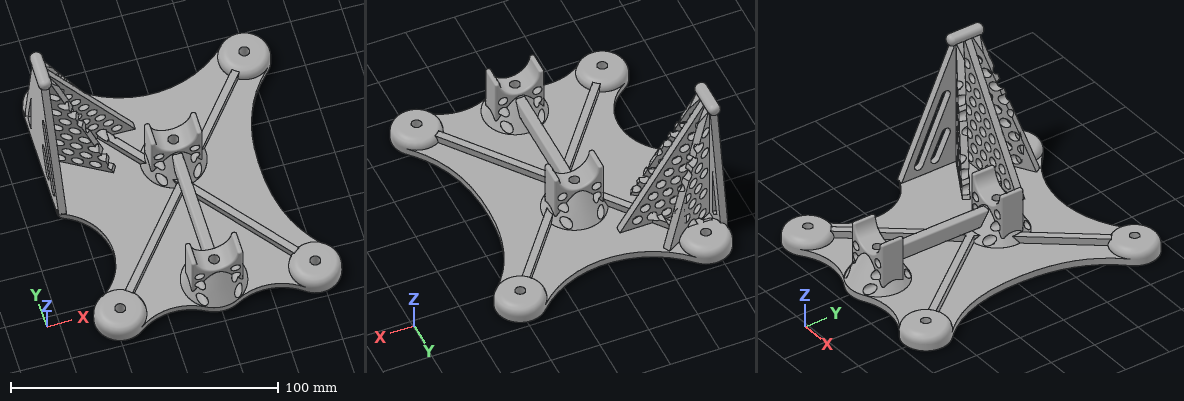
import cadquery as cq
import math

PLATE_T = 3.0
BOLT_X = 38.0
BOLT_Y = 48.0
BOSS_R = 10.0
BOSS_TOP = 7.0
BOSS_FILLET = BOSS_TOP - PLATE_T
BOLT_HOLE_D = 4.0
REAR_EDGE_Y = 42.0
RIGHT_EDGE_X = 30.2
SCALLOP_R = 23.0
LEFT_SCALLOP_R = 22.4
LEFT_SCALLOP_X = -55.1
CORNER_R = 3.0
LEFT_X = -BOLT_X - BOSS_R

RIB_W = 3.0
RIB_TOP = 6.0

POST_YS = (-43.0, 12.0)
POST_W = 20.0
POST_DEPTH = 10.0
POST_TOP = 25.0
SADDLE_R = 8.0
POST_FILLET = 0.9
CONE_BASE_R = 12.65
CONE_TOP_R = 4.5
CONE_TOP = 16.5
POST_HOLE_D = 3.7
POST_HOLE_X = 7.0
POST_HOLE_ZS = (5.2, 10.35, 15.5)
BEAM_W = 4.0
BEAM_BOTTOM = 8.0
BEAM_TOP = 15.0
BEAM_FILLET = 1.0
BEAM_OVERLAP = 1.0

WALL_T = 3.0
WALL_INNER_X = LEFT_X + WALL_T
BAR_X = LEFT_X + WALL_T / 2
BAR_Y = 30.25
BAR_Z = 58.0
BAR_R = 2.5
BAR_LENGTH = 16.0
BAR_FILLET = 2.0
WALL_HALF_TOP = 6.0
WALL_FRONT_Y = 0.14
WALL_REAR_Y = 45.5
SLOT_D = 4.0
LONG_SLOT = ((20.5, 34.9), (8.1, 7.9))
SHORT_SLOT = ((20.5, 17.8), (15.6, 7.9))
WINDOW = ((38.1, 27.0), (42.0, 8.0), (39.8, 5.9), (38.1, 5.9))

GUSSET_T = 3.0
GUSSET_REACH = 35.0
SIDE_GUSSET_REACH = 26.1
SIDE_GUSSET_TOP = 1.1
SIDE_GUSSET_ANGLE = 30.0
SIDE_GUSSET_ROOT = 3.45
PERF_D = 4.0
PERF_PITCH = 6.0
PERF_LATTICE_ANGLE = 60.0
PERF_ROW_COUNTS = (9, 7, 5, 3, 1)
PERF_START = (-42.95, 47.3)
PERF_REAR_Y = BAR_Y + 12.5
PERF_FRONT_Y = BAR_Y - 5.0


def along(start, end, distance):
    """Point at a distance from start on the way to end."""
    share = distance / math.dist(start, end)
    return tuple(s + share * (e - s) for s, e in zip(start, end))


def circle_crossing(center_a, radius_a, center_b, radius_b):
    """Crossing of two circles that lies to the left when going from centre a to centre b."""
    gap = math.dist(center_a, center_b)
    run = (gap**2 + radius_a**2 - radius_b**2) / (2 * gap)
    rise = math.sqrt(radius_a**2 - run**2)
    ux = (center_b[0] - center_a[0]) / gap
    uy = (center_b[1] - center_a[1]) / gap
    return (center_a[0] + run * ux - rise * uy, center_a[1] + run * uy + rise * ux)


def tangent_edge_radius(half_span, drop):
    """Radius of a concave edge tangent to two bosses; drop is its apex depth below the boss centres."""
    return (half_span**2 + drop**2 - BOSS_R**2) / (2 * (BOSS_R + drop))


def base_plate():
    """Plate whose outline runs tangentially around four bosses and the front cone."""
    rear_left, rear_right = (-BOLT_X, BOLT_Y), (BOLT_X, BOLT_Y)
    front_left, front_right = (-BOLT_X, -BOLT_Y), (BOLT_X, -BOLT_Y)
    front_cone = (0, POST_YS[0])

    rear_r = tangent_edge_radius(BOLT_X, BOLT_Y - REAR_EDGE_Y)
    rear_arc = (0, REAR_EDGE_Y + rear_r)
    boss_reach = BOSS_R + SCALLOP_R
    cone_reach = CONE_BASE_R + SCALLOP_R
    scallop_right = circle_crossing(front_right, boss_reach, front_cone, cone_reach)
    scallop_left = (-scallop_right[0], scallop_right[1])
    left_rise = math.sqrt((BOSS_R + LEFT_SCALLOP_R)**2 - (LEFT_SCALLOP_X + BOLT_X)**2)
    scallop_side = (LEFT_SCALLOP_X, left_rise - BOLT_Y)
    corner_x = LEFT_X + CORNER_R
    corner_rise = math.sqrt((LEFT_SCALLOP_R + CORNER_R)**2 - (corner_x - LEFT_SCALLOP_X)**2)
    corner = (corner_x, scallop_side[1] + corner_rise)

    diagonal = BOSS_R * math.sqrt(0.5)
    outer_x = BOLT_X + diagonal
    outer_y = BOLT_Y + diagonal
    right_end = (outer_x, BOLT_Y - diagonal)
    corner_end = along(corner, scallop_side, CORNER_R)
    corner_mid = along(corner, along((LEFT_X, corner[1]), corner_end, 1.0), CORNER_R)
    return (
        cq.Workplane("XY")
        .moveTo(LEFT_X, BOLT_Y)
        .threePointArc((-outer_x, outer_y), along(rear_left, rear_arc, BOSS_R))
        .threePointArc((0, REAR_EDGE_Y), along(rear_right, rear_arc, BOSS_R))
        .threePointArc((outer_x, outer_y), right_end)
        .spline([(RIGHT_EDGE_X, 0), (right_end[0], -right_end[1])],
                tangents=[(-1, -1), (1, -1)], includeCurrent=True)
        .threePointArc((outer_x, -outer_y), along(front_right, scallop_right, BOSS_R))
        .threePointArc((scallop_right[0], scallop_right[1] + SCALLOP_R),
                       along(front_cone, scallop_right, CONE_BASE_R))
        .threePointArc((0, POST_YS[0] - CONE_BASE_R), along(front_cone, scallop_left, CONE_BASE_R))
        .threePointArc((scallop_left[0], scallop_left[1] + SCALLOP_R),
                       along(front_left, scallop_left, BOSS_R))
        .threePointArc((-outer_x, -outer_y), along(front_left, scallop_side, BOSS_R))
        .threePointArc((LEFT_SCALLOP_X + LEFT_SCALLOP_R, scallop_side[1]), corner_end)
        .threePointArc(corner_mid, (LEFT_X, corner[1]))
        .close()
        .extrude(PLATE_T)
    )


def corner_boss(x, y):
    """Round boss with a rounded rim."""
    boss = cq.Workplane("XY").circle(BOSS_R).extrude(BOSS_TOP)
    return boss.faces(">Z").edges().fillet(BOSS_FILLET).translate((x, y, 0))


def diagonal_rib(direction):
    """Low rib joining two opposite bosses; direction is +1 or -1."""
    angle = direction * math.degrees(math.atan2(BOLT_Y, BOLT_X))
    length = 2 * (math.hypot(BOLT_X, BOLT_Y) - BOSS_R / 2)
    rib = cq.Workplane("XY").box(length, RIB_W, RIB_TOP, centered=(True, True, False))
    return rib.rotate((0, 0, 0), (0, 0, 1), angle)


def saddle_post(y):
    """Cone and rounded post with a cradle on top, centred on X at the given Y."""
    post = cq.Workplane("XY").box(POST_W, POST_DEPTH, POST_TOP, centered=(True, True, False))
    cradle = cq.Workplane("XZ").center(0, POST_TOP).circle(SADDLE_R).extrude(POST_DEPTH, both=True)
    post = post.cut(cradle).edges("not <Z").fillet(POST_FILLET)
    cone_profile = [(0, PLATE_T), (0, CONE_TOP), (CONE_TOP_R, CONE_TOP), (CONE_BASE_R, PLATE_T)]
    cone = cq.Workplane("YZ").polyline(cone_profile).close().revolve(360, (0, 0), (0, 1))
    return post.union(cone).translate((0, y, 0))


def cross_holes(y):
    """Two columns of holes along Y through a post and its cone."""
    spots = [(x, z) for x in (-POST_HOLE_X, POST_HOLE_X) for z in POST_HOLE_ZS]
    holes = cq.Workplane("XZ").pushPoints(spots).circle(POST_HOLE_D / 2).extrude(CONE_BASE_R, both=True)
    return holes.translate((0, y, 0))


def beam():
    """Raised beam between the two posts."""
    front_y, rear_y = POST_YS
    length = rear_y - front_y - POST_DEPTH + 2 * BEAM_OVERLAP
    bar = cq.Workplane("XY").box(BEAM_W, length, BEAM_TOP - BEAM_BOTTOM).edges("|Y").fillet(BEAM_FILLET)
    return bar.translate((0, (front_y + rear_y) / 2, (BEAM_BOTTOM + BEAM_TOP) / 2))


def slot(start, end):
    """Rounded slot through the wall between two Y, Z centres."""
    dy = end[0] - start[0]
    dz = end[1] - start[1]
    length = math.hypot(dy, dz) + SLOT_D
    return (
        cq.Workplane("YZ", origin=(BAR_X, 0, 0))
        .center((start[0] + end[0]) / 2, (start[1] + end[1]) / 2)
        .slot2D(length, SLOT_D, math.degrees(math.atan2(dz, dy)))
        .extrude(WALL_T, both=True)
    )


def wall():
    """Tapered wall standing on the -X side, with slots and a window."""
    outline = [
        (WALL_FRONT_Y, PLATE_T),
        (BAR_Y - WALL_HALF_TOP, BAR_Z - BAR_R),
        (BAR_Y - WALL_HALF_TOP, BAR_Z),
        (BAR_Y + WALL_HALF_TOP, BAR_Z),
        (BAR_Y + WALL_HALF_TOP, BAR_Z - BAR_R),
        (WALL_REAR_Y, BOSS_TOP),
        (WALL_REAR_Y, PLATE_T),
    ]
    plate = cq.Workplane("YZ", origin=(LEFT_X, 0, 0)).polyline(outline).close().extrude(WALL_T)
    window = cq.Workplane("YZ", origin=(LEFT_X, 0, 0)).polyline(WINDOW).close().extrude(WALL_T)
    return plate.cut(slot(*LONG_SLOT)).cut(slot(*SHORT_SLOT)).cut(window)


def top_bar():
    """Round bar with rounded ends along the top of the wall."""
    bar = cq.Workplane("XZ", origin=(0, BAR_LENGTH / 2, 0)).circle(BAR_R).extrude(BAR_LENGTH)
    return bar.edges().fillet(BAR_FILLET).translate((BAR_X, BAR_Y, BAR_Z))


def perforations(front_y, rear_y):
    """Triangular field of holes along Y, its rows parallel to the edge of the middle gusset."""
    slope = math.atan2(BAR_Z - PLATE_T, GUSSET_REACH)
    turn = slope + math.radians(PERF_LATTICE_ANGLE)
    spots = []
    for row, count in enumerate(PERF_ROW_COUNTS):
        for step in range(row, row + count):
            down = PERF_PITCH * step
            across = PERF_PITCH * row
            spots.append((
                PERF_START[0] + down * math.cos(slope) + across * math.cos(turn),
                PERF_START[1] - down * math.sin(slope) - across * math.sin(turn),
            ))
    return (
        cq.Workplane("XZ", origin=(0, rear_y, 0))
        .pushPoints(spots)
        .circle(PERF_D / 2)
        .extrude(rear_y - front_y)
    )


def web(reach, top_run, thickness):
    """Upright sloping web along X, its root buried in a wall whose inner face is at X = 0."""
    outline = [(-WALL_T / 2, PLATE_T), (reach, PLATE_T), (top_run, BAR_Z), (-WALL_T / 2, BAR_Z)]
    return cq.Workplane("XZ", origin=(0, thickness / 2, 0)).polyline(outline).close().extrude(thickness)


def middle_gusset():
    """Web square to the wall below the middle of the bar."""
    return web(GUSSET_REACH, 0, GUSSET_T).translate((WALL_INNER_X, BAR_Y, 0))


def side_gusset(side):
    """Web splayed out in plan towards +Y (side = 1) or -Y (side = -1)."""
    splayed = web(SIDE_GUSSET_REACH, SIDE_GUSSET_TOP, GUSSET_T)
    splayed = splayed.rotate((0, 0, 0), (0, 0, 1), side * SIDE_GUSSET_ANGLE)
    splayed = splayed.translate((0, side * SIDE_GUSSET_ROOT, 0))
    slope_limit = web(GUSSET_REACH, 0, 2 * SIDE_GUSSET_REACH)
    return splayed.intersect(slope_limit).translate((WALL_INNER_X, BAR_Y, 0))


bosses = [(x, y) for x in (-BOLT_X, BOLT_X) for y in (-BOLT_Y, BOLT_Y)]

body = base_plate()
for x, y in bosses:
    body = body.union(corner_boss(x, y))
for direction in (1, -1):
    body = body.union(diagonal_rib(direction))
body = body.union(middle_gusset()).union(side_gusset(1))
body = body.cut(perforations(PERF_FRONT_Y, PERF_REAR_Y))
body = body.union(side_gusset(-1).cut(perforations(0, BAR_Y)))
body = body.union(wall()).union(top_bar())
for y in POST_YS:
    body = body.union(saddle_post(y)).cut(cross_holes(y))
body = body.union(beam())

bolt_points = bosses + [(0, y) for y in POST_YS]
bolt_holes = cq.Workplane("XY").pushPoints(bolt_points).circle(BOLT_HOLE_D / 2).extrude(POST_TOP)
result = body.cut(bolt_holes)